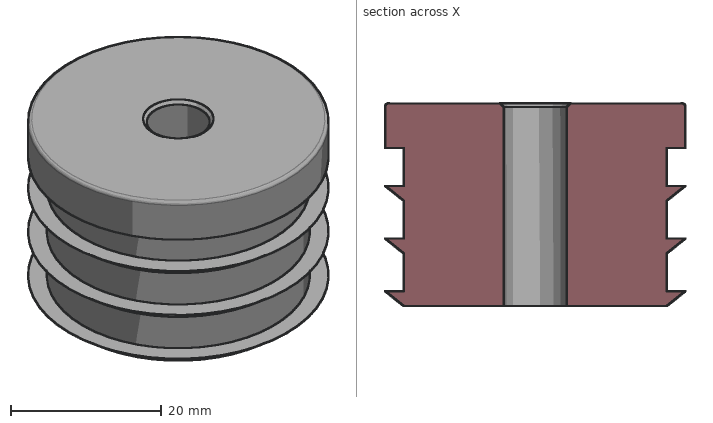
import cadquery as cq

outer_diameter = 40.0
stem_diameter = 35.0
bore_diameter = 8.35
head_height = 6.0
neck_height = 5.0
fin_height = 2.0
fin_count = 3
face_diameter = 39.0
mouth_diameter = 9.35

stem_height = fin_count * (neck_height + fin_height)
total_height = stem_height + head_height
outer_radius = outer_diameter / 2
stem_radius = stem_diameter / 2
rim_radius = (outer_diameter - face_diameter) / 2
mouth_chamfer = (mouth_diameter - bore_diameter) / 2


def make_head():
    """Disc head with a rounded top rim."""
    head = cq.Workplane("XY").workplane(offset=stem_height).circle(outer_radius).extrude(head_height)
    return head.faces(">Z").edges().fillet(rim_radius)


def make_finned_stem():
    """Stem with sealing fins: flat on top, tapering to the stem below."""
    profile = cq.Workplane("XZ").moveTo(0, 0)
    for fin in range(fin_count):
        fin_bottom = fin * (neck_height + fin_height)
        fin_top = fin_bottom + fin_height
        profile = (
            profile.lineTo(stem_radius, fin_bottom)
            .lineTo(outer_radius, fin_top)
            .lineTo(stem_radius, fin_top)
        )
    profile = profile.lineTo(stem_radius, stem_height).lineTo(0, stem_height).close()
    return profile.revolve(360, (0, 0, 0), (0, 1, 0))


def cut_bore(body):
    """Through bore with a bevelled mouth in the head."""
    bored = body.cut(cq.Workplane("XY").circle(bore_diameter / 2).extrude(total_height))
    mouth = cq.selectors.RadiusNthSelector(0)
    return bored.faces(">Z").edges(mouth).chamfer(mouth_chamfer)


result = cut_bore(make_finned_stem().union(make_head()))